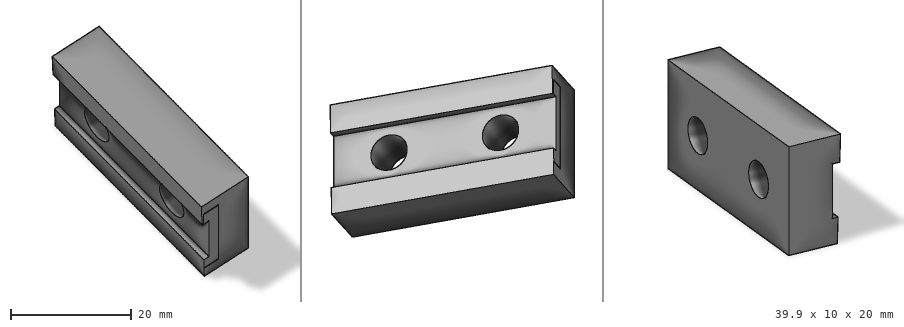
import cadquery as cq

overall_length = 39.88
depth = 10.0
height = 19.98
pad_thickness = 0.08
body_length = overall_length - pad_thickness

front_setback = 0.65

groove_depth = 1.55
groove_height = 10.0
groove_top_offset = 5.15

hole_diameter = 6.5
hole_spacing = 19.98

pad_height = 15.15
pad_width = 3.2
pad_front_offset = 0.45

left = -overall_length / 2
front = -depth / 2
back = depth / 2
top = height / 2
bottom = -height / 2
groove_floor = front + groove_depth
groove_top = top - groove_top_offset
groove_bottom = groove_top - groove_height


def front_at(z):
    """Y position of the leaning front face at height z."""
    return front + front_setback * (top - z) / height


def profile_prism(length):
    """Grooved cross-section extruded along X from the left end."""
    outline = [
        (back, bottom),
        (back, top),
        (front, top),
        (front_at(groove_top), groove_top),
        (groove_floor, groove_top),
        (groove_floor, groove_bottom),
        (front_at(groove_bottom), groove_bottom),
        (front_at(bottom), bottom),
    ]
    section = cq.Workplane("YZ", origin=(left, 0, 0)).polyline(outline).close()
    return section.extrude(length)


def end_pad():
    """Pad clipped to the grooved section, reaching the overall length."""
    envelope = (
        cq.Workplane("YZ", origin=(left + body_length, 0, 0))
        .center(front + pad_front_offset + pad_width / 2, 0)
        .rect(pad_width, pad_height)
        .extrude(pad_thickness)
    )
    return envelope.intersect(profile_prism(overall_length))


def through_holes():
    """Pair of cylinders along Y, symmetric about the centre."""
    return (
        cq.Workplane("XZ", origin=(0, back, 0))
        .pushPoints([(-hole_spacing / 2, 0), (hole_spacing / 2, 0)])
        .circle(hole_diameter / 2)
        .extrude(depth)
    )


result = profile_prism(body_length).union(end_pad()).cut(through_holes())